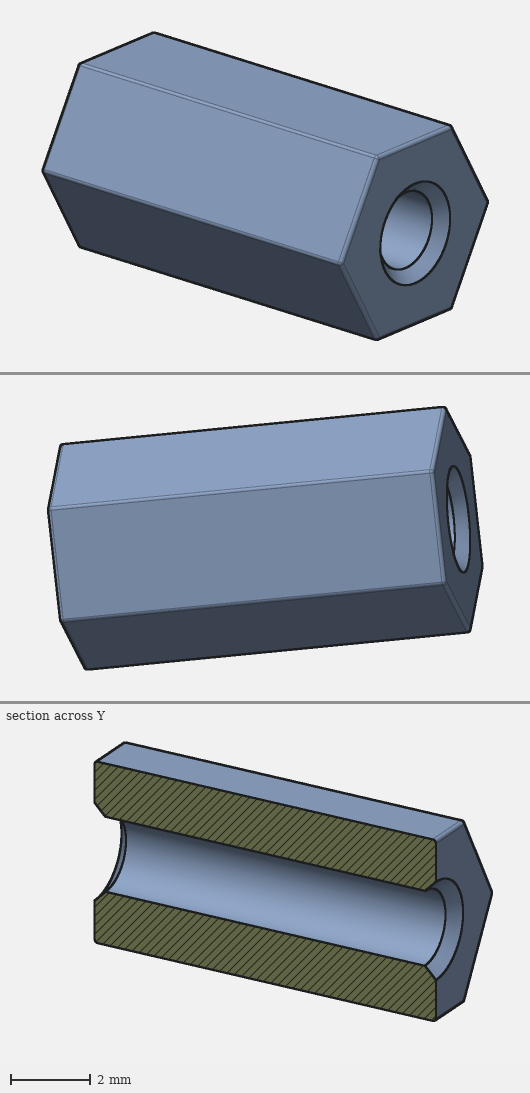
import cadquery as cq
import math

length = 10.0
across_flats = 5.0
edge_radius = 0.1
bore_diameter = 2.05
countersink_diameter = 2.7

across_corners = across_flats / math.cos(math.pi / 6)
countersink_depth = (countersink_diameter - bore_diameter) / 2


def hex_body():
    """Hexagonal bar with corners along Y, flats on top and bottom, all edges rounded."""
    bar = cq.Workplane("YZ").polygon(6, across_corners).extrude(length / 2, both=True)
    return bar.edges().fillet(edge_radius)


def bore():
    """Through hole, widening to a countersink at each end, as a solid of revolution about X."""
    half_length = length / 2
    bore_radius = bore_diameter / 2
    countersink_radius = countersink_diameter / 2
    straight_end = half_length - countersink_depth
    profile = [
        (-half_length, 0),
        (-half_length, countersink_radius),
        (-straight_end, bore_radius),
        (straight_end, bore_radius),
        (half_length, countersink_radius),
        (half_length, 0),
    ]
    return cq.Workplane("XY").polyline(profile).close().revolve(360, (0, 0, 0), (1, 0, 0))


result = hex_body().cut(bore())